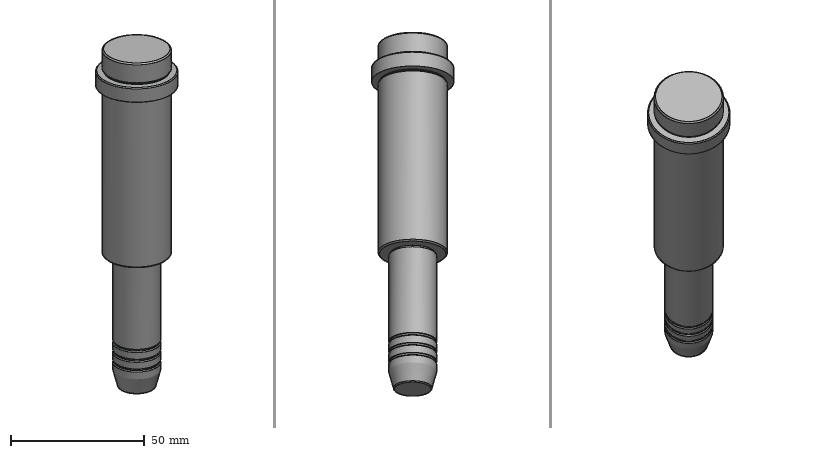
import cadquery as cq
import math

length = 140.0
body_bottom = 55.0
flange_bottom = 125.0
flange_top = 131.0
head_bottom = 131.5

flange_radius = 31.0 / 2
body_radius = 26.0 / 2
pin_radius = 18.0 / 2

chamfer = 0.5
relief_depth = 0.5
relief_height = 0.4
pin_relief_height = 0.8
flange_chamfer = 0.4

taper_height = 7.0
taper_angle = math.radians(15)
tip_chamfer = 0.4

groove_count = 3
groove_pitch = 4.0
groove_floor_width = 0.7
groove_depth = 0.4
lowest_groove_top = 11.2


def make_shaft():
    """Revolve the stepped half outline of the shaft about Z."""
    body_relief_radius = body_radius - relief_depth
    pin_relief_radius = pin_radius - relief_depth

    cone_end_radius = pin_radius - (taper_height - tip_chamfer) * math.tan(taper_angle)

    outline = (
        cq.Workplane("XZ")
        .lineTo(cone_end_radius - tip_chamfer, 0)
        .lineTo(cone_end_radius, tip_chamfer)
        .lineTo(pin_radius, taper_height)
        .lineTo(pin_radius, body_bottom - pin_relief_height)
        .lineTo(pin_relief_radius, body_bottom)
        .lineTo(body_radius - chamfer, body_bottom)
        .lineTo(body_radius, body_bottom + chamfer)
        .lineTo(body_radius, flange_bottom - relief_height - relief_depth)
        .lineTo(body_relief_radius, flange_bottom - relief_height)
        .lineTo(body_relief_radius, flange_bottom)
        .lineTo(flange_radius, flange_bottom)
        .lineTo(flange_radius, flange_top - flange_chamfer)
        .lineTo(flange_radius - flange_chamfer, flange_top)
        .lineTo(body_relief_radius, flange_top)
        .lineTo(body_relief_radius, head_bottom)
        .lineTo(body_radius, head_bottom + relief_depth)
        .lineTo(body_radius, length - chamfer)
        .lineTo(body_radius - chamfer, length)
        .lineTo(0, length)
        .close()
    )
    return outline.revolve(360, (0, 0, 0), (0, 1, 0))


def make_groove(top):
    """Ring that cuts a groove with a square upper side and a 45 degree lower side."""
    floor_radius = pin_radius - groove_depth
    outer_radius = pin_radius + groove_depth
    floor_bottom = top - groove_floor_width
    return (
        cq.Workplane("XZ")
        .moveTo(floor_radius, top)
        .lineTo(outer_radius, top)
        .lineTo(outer_radius, floor_bottom - (outer_radius - floor_radius))
        .lineTo(floor_radius, floor_bottom)
        .close()
        .revolve(360, (0, 0, 0), (0, 1, 0))
    )


result = make_shaft()
for index in range(groove_count):
    result = result.cut(make_groove(lowest_groove_top + index * groove_pitch))